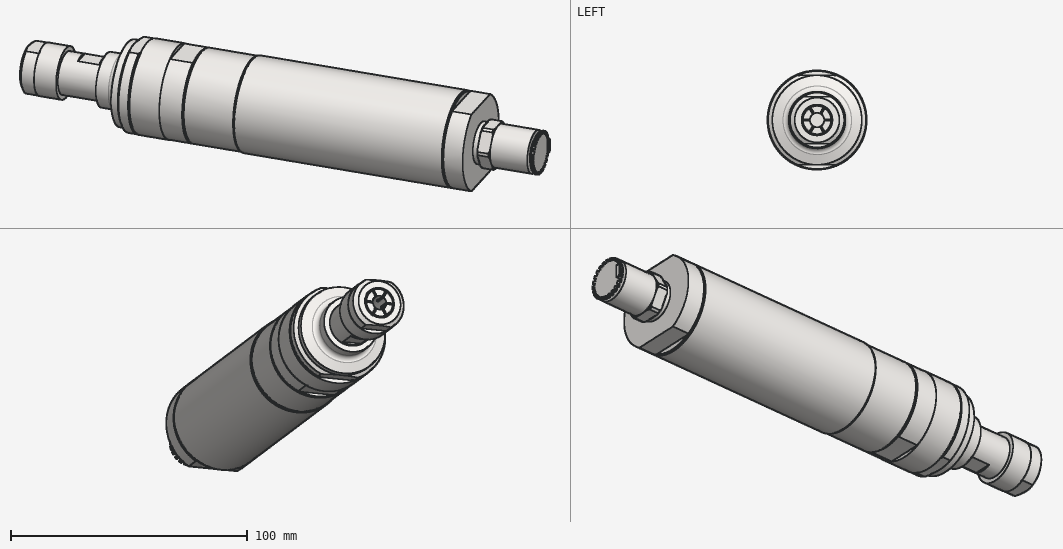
import cadquery as cq
import math

length = 233.7

nut_face_d = 19.0
nut_d = 23.0
nut_chamfer_length = 1.5
nut_flat_end = 7.2
nut_across_flats = 19.9
nut_collar_d = 23.1
nut_end = 17.3
nut_bore_d = 13.0
collet_d = 12.0
collet_gap_depth = 2.3
collet_hole_d = 6.0
collet_hole_depth = 14.0
collet_slot_width = 0.7
collet_slot_depth = 7.0
collet_slot_count = 6

shaft_d = 19.0
shaft_flat_start = 24.3
shaft_flat_end = 33.9
shaft_across_flats = 17.0
shaft_end = 35.5

collar_d = 24.0
flare_start = 41.1
flare_d = 29.0
flare_radius = (flare_d - collar_d) / 2
disc_d = 37.9
disc_start = 45.0
disc_end = 48.1

body_d = 42.0
head_d = 41.4
head_band_d = 41.5
head_end = 101.9
body_chamfer_end = 49.3
body_end = 205.6
front_flat_end = 54.2
wrench_flat_start = 67.8
wrench_flat_end = 78.0
front_across_flats = 37.9
rear_flat_start = 196.8
rear_across_flats = 36.0
groove_depth = 0.5
groove_width = 0.7
head_groove_ends = (front_flat_end, wrench_flat_end + groove_width, head_end)

fitting_neck_d = 18.5
hex_start = 208.0
hex_end = 213.5
hex_across_flats = 19.0
hex_corner_d = 21.0
hex_chamfer = 0.5
fitting_d = 19.0
fitting_end = 230.5
ring_neck_d = 13.0
ring_chamfer_d = 18.0
ring_start = 231.5
ring_chamfer_length = 0.7
ring_end = 233.0
notch_count = 24
notch_width = 1.2
notch_depth = 1.2

tab_inner_y = 7.0
tab_outer_y = 8.9
tab_width = 6.0


def cylinder(diameter, start, end):
    """Solid cylinder on the X axis between two stations."""
    return cq.Workplane("YZ", origin=(start, 0, 0)).circle(diameter / 2).extrude(end - start)


def tube(outer_d, inner_d, start, end):
    """Hollow cylinder on the X axis between two stations."""
    return cylinder(outer_d, start, end).cut(cylinder(inner_d, start, end))


def block(start, end, y_range, z_range):
    """Axis-aligned block given by its limits."""
    size = (end - start, y_range[1] - y_range[0], z_range[1] - z_range[0])
    corner = (start, y_range[0], z_range[0])
    return cq.Workplane("XY").box(*size, centered=False).translate(corner)


def cut_flats(part, across_flats, start, end):
    """Cut a pair of flats facing +Z and -Z."""
    for bottom, top in ((across_flats / 2, body_d), (-body_d, -across_flats / 2)):
        part = part.cut(block(start, end, (-body_d, body_d), (bottom, top)))
    return part


def cut_groove(part, surface_d, end):
    """Cut a shallow ring groove that ends at the given station."""
    return part.cut(tube(surface_d, surface_d - 2 * groove_depth, end - groove_width, end))


def turned_spindle():
    """Nut, shaft, flare and body revolved as one profile."""
    arc_mid_x = flare_start + flare_radius * math.sin(math.pi / 4)
    arc_mid_r = flare_d / 2 - flare_radius * math.cos(math.pi / 4)
    profile = (
        cq.Workplane("XY")
        .lineTo(0, nut_face_d / 2)
        .lineTo(nut_chamfer_length, nut_d / 2)
        .lineTo(nut_flat_end, nut_d / 2)
        .lineTo(nut_flat_end, nut_collar_d / 2)
        .lineTo(nut_end, nut_collar_d / 2)
        .lineTo(nut_end, shaft_d / 2)
        .lineTo(shaft_end, shaft_d / 2)
        .lineTo(shaft_end, collar_d / 2)
        .lineTo(flare_start, collar_d / 2)
        .threePointArc((arc_mid_x, arc_mid_r), (flare_start + flare_radius, flare_d / 2))
        .lineTo(disc_start, disc_d / 2)
        .lineTo(disc_end, disc_d / 2)
        .lineTo(body_chamfer_end, head_d / 2)
        .lineTo(front_flat_end, head_d / 2)
        .lineTo(front_flat_end, head_band_d / 2)
        .lineTo(wrench_flat_start, head_band_d / 2)
        .lineTo(wrench_flat_start, head_d / 2)
        .lineTo(head_end, head_d / 2)
        .lineTo(head_end, body_d / 2)
        .lineTo(body_end, body_d / 2)
        .lineTo(body_end, 0)
        .close()
    )
    return profile.revolve(360, (0, 0, 0), (1, 0, 0))


def cut_collet(part):
    """Cut the tool hole, the gap round the collet and its radial slots."""
    part = part.cut(tube(nut_bore_d, collet_d, 0, collet_gap_depth))
    part = part.cut(cylinder(collet_hole_d, 0, collet_hole_depth))
    half_width = collet_slot_width / 2
    slot = block(0, collet_slot_depth, (0, nut_bore_d / 2), (-half_width, half_width))
    for index in range(collet_slot_count):
        angle = index * 360 / collet_slot_count
        part = part.cut(slot.rotate((0, 0, 0), (1, 0, 0), angle))
    return part


def hex_nut():
    """Hexagon with flats facing +Z and -Z and turned, chamfered corners."""
    hexagon = (
        cq.Workplane("YZ", origin=(hex_start, 0, 0))
        .polygon(6, hex_across_flats / math.cos(math.pi / 6))
        .extrude(hex_end - hex_start)
    )
    return hexagon.intersect(cylinder(hex_corner_d, hex_start, hex_end).edges().chamfer(hex_chamfer))


def release_ring():
    """Notched push ring with a raised tab on its end face."""
    ring = cylinder(fitting_d, ring_start, ring_end)
    inset = (fitting_d - ring_chamfer_d) / 2
    ring = ring.faces("<X").edges().chamfer(ring_chamfer_length, inset)
    root = fitting_d / 2 - notch_depth
    notch = block(ring_start, ring_end, (root, fitting_d), (-notch_width / 2, notch_width / 2))
    for index in range(notch_count):
        angle = (index + 0.5) * 360 / notch_count
        ring = ring.cut(notch.rotate((0, 0, 0), (1, 0, 0), angle))
    tab = block(ring_end, length, (tab_inner_y, tab_outer_y), (-tab_width / 2, tab_width / 2))
    tab = tab.intersect(cylinder(ring_chamfer_d, ring_end, length))
    return ring.union(tab)


spindle = turned_spindle()
spindle = cut_flats(spindle, nut_across_flats, 0, nut_flat_end)
spindle = cut_flats(spindle, shaft_across_flats, shaft_flat_start, shaft_flat_end)
spindle = cut_flats(spindle, front_across_flats, disc_end, front_flat_end)
spindle = cut_flats(spindle, front_across_flats, wrench_flat_start, wrench_flat_end)
spindle = cut_flats(spindle, rear_across_flats, rear_flat_start, body_end)
for groove_end in head_groove_ends:
    spindle = cut_groove(spindle, head_d, groove_end)
spindle = cut_groove(spindle, body_d, rear_flat_start)
spindle = cut_collet(spindle)

result = (
    spindle.union(cylinder(fitting_neck_d, body_end, hex_start))
    .union(hex_nut())
    .union(cylinder(fitting_d, hex_end, fitting_end))
    .union(cylinder(ring_neck_d, fitting_end, ring_start))
    .union(release_ring())
)